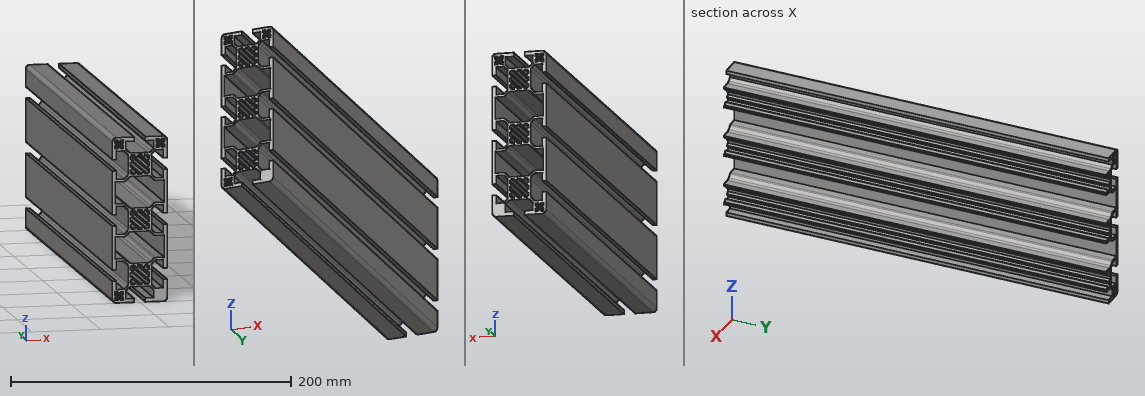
import cadquery as cq

cell = 40.0
cell_count = 3
length = 300.0
corner_radius = 3.0

cell_half = cell / 2
core_half = 8.5
core_wall = 1.5
slot_half = 10.2
shelf_thickness = 1.8
shelf_far = slot_half + shelf_thickness

opening_half = 4.1
lip_thickness = 2.9
wall_thickness = 2.2
corner_wall = 2.0

strut_thickness = 1.7
strut_offset = strut_thickness / 2**0.5
core_fillet = 3.0
shelf_fillet = 1.5

bore_half = core_half - core_wall
bore_chamfer = 1.4
core_tooth_offset = 2.6
core_tooth_base = 2.8
core_tooth_tip = 0.6
core_tooth_height = 2.0

chamber_half = (cell_half - corner_wall - shelf_far) / 2
chamber_center = shelf_far + chamber_half
chamber_tooth_base = 2.6
chamber_tooth_tip = 1.4
chamber_tooth_height = 0.8

height = cell * cell_count
end_cell_z = (height - cell) / 2
cell_levels = [cell * i - end_cell_z for i in range(cell_count)]
cavity_levels = [z + cell_half for z in cell_levels[:-1]]
edge_margin = 0.1
quarter_turns = (0, 90, 180, 270)


def prism(points, angle=0):
    """Full-length prism of an X-Z outline, turned about the Y axis."""
    body = cq.Workplane("XZ").polyline(points).close().extrude(length / 2, both=True)
    return body.rotate((0, 0, 0), (0, 1, 0), angle)


def mirrored(right_half):
    """Close an outline from its right half, listed from top to bottom."""
    left_half = [(-x, z) for x, z in reversed(right_half)]
    return right_half + left_half


def four_corners(x, z):
    return [(x, z), (-x, z), (-x, -z), (x, -z)]


def fillet_edges(body, radius, points):
    """Round the lengthwise edges of a prism that pass through the given (x, z) points."""
    for x, z in points:
        edge = cq.selectors.BoxSelector(
            (x - edge_margin, -edge_margin, z - edge_margin),
            (x + edge_margin, edge_margin, z + edge_margin),
        )
        body = body.edges(edge).fillet(radius)
    return body


def outer_bar():
    bar = cq.Workplane("XY").box(cell, length, height)
    return bar.edges("|Y").fillet(corner_radius)


def t_slot(z, angle, rounded_sides=()):
    """T-slot of the cell at height z; at angle 0 it opens upwards.

    rounded_sides lists the sides (-1 or 1) whose strut meets a plain shelf and blends into it.
    """
    lip_inside = cell_half - lip_thickness
    strut_foot = (core_half - strut_offset, core_half)
    strut_head = (slot_half, slot_half + strut_offset)
    outline = mirrored([
        (opening_half, cell_half),
        (opening_half, lip_inside),
        (slot_half, lip_inside),
        strut_head,
        strut_foot,
    ])
    slot = prism(outline)
    feet = [(side * strut_foot[0], strut_foot[1]) for side in (-1, 1)]
    heads = [(side * strut_head[0], strut_head[1]) for side in rounded_sides]
    slot = fillet_edges(slot, core_fillet, feet)
    slot = fillet_edges(slot, shelf_fillet, heads)
    return slot.rotate((0, 0, 0), (0, 1, 0), angle).translate((0, 0, z))


def cavity(z):
    """Closed cavity between two neighbouring cells, centred at height z."""
    wall_x = cell_half - wall_thickness
    strut_foot = (core_half - strut_offset, cell_half - core_half)
    strut_head = (shelf_far - strut_offset, cell_half - shelf_far)
    upper_right = [strut_foot, strut_head, (wall_x, strut_head[1])]
    lower_right = [(x, -z) for x, z in reversed(upper_right)]
    body = prism(mirrored(upper_right + lower_right))
    body = fillet_edges(body, core_fillet, four_corners(*strut_foot))
    body = fillet_edges(body, shelf_fillet, four_corners(*strut_head))
    return body.translate((0, 0, z))


def square_hole(half):
    return prism(four_corners(half, half))


def add_teeth(hole, half, tooth_offsets, tooth_base, tooth_tip, tooth_height):
    """Leave blunt teeth pointing inwards on every side of a square hole."""
    for offset in tooth_offsets:
        tooth = [
            (offset - tooth_base / 2, half),
            (offset - tooth_tip / 2, half - tooth_height),
            (offset + tooth_tip / 2, half - tooth_height),
            (offset + tooth_base / 2, half),
        ]
        for angle in quarter_turns:
            hole = hole.cut(prism(tooth, angle))
    return hole


def core_bore(z):
    bore = square_hole(bore_half).edges("|Y").chamfer(bore_chamfer)
    offsets = (-core_tooth_offset, core_tooth_offset)
    bore = add_teeth(bore, bore_half, offsets, core_tooth_base, core_tooth_tip, core_tooth_height)
    return bore.translate((0, 0, z))


def corner_chamber(x_side, z_side):
    chamber = add_teeth(
        square_hole(chamber_half),
        chamber_half,
        (0,),
        chamber_tooth_base,
        chamber_tooth_tip,
        chamber_tooth_height,
    )
    return chamber.translate((x_side * chamber_center, 0, z_side * (end_cell_z + chamber_center)))


result = outer_bar()

for level in cell_levels:
    result = result.cut(core_bore(level))
    shelf_sides = [side for side in (-1, 1) if abs(level + side * cell) <= end_cell_z]
    result = result.cut(t_slot(level, 270, shelf_sides))
    result = result.cut(t_slot(level, 90, [-side for side in shelf_sides]))

result = result.cut(t_slot(end_cell_z, 0))
result = result.cut(t_slot(-end_cell_z, 180))

for level in cavity_levels:
    result = result.cut(cavity(level))

for x_side, z_side in ((-1, 1), (1, 1), (-1, -1)):
    result = result.cut(corner_chamber(x_side, z_side))